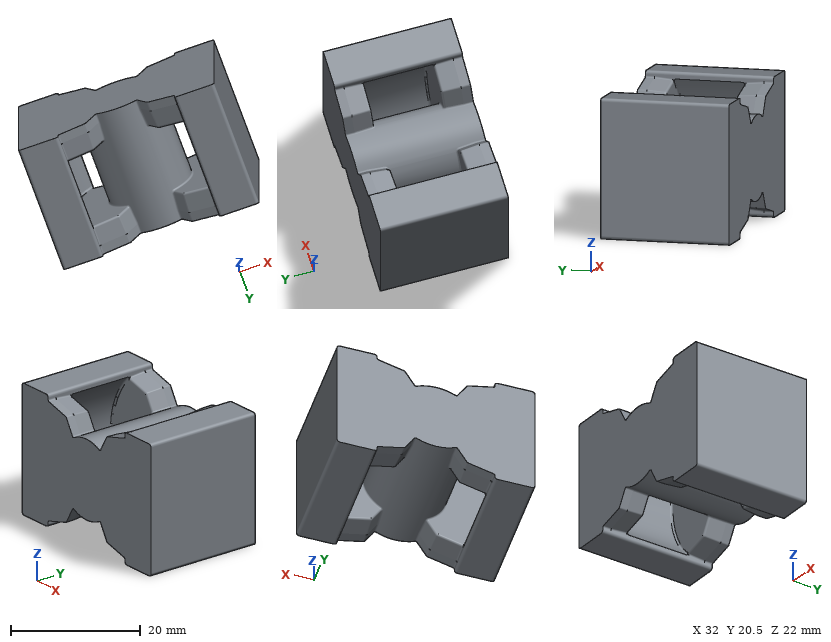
import cadquery as cq
import math

WIDTH = 32.0
DEPTH = 20.5
HEIGHT = 22.0

POST_RADIUS = 6.75
WINDOW_RADIUS = 13.75
WINDOW_DEPTH = 11.25
LEG_INNER_X = 9.5

SHOULDER_X = 5.05
SHOULDER_Z = 8.8
WAIST_SLOPE = math.radians(60)
ARM_SLOPE = math.radians(15)
STRAIGHT_DEPTH = 1.5
DRAFT_ANGLE = 5.0

LEG_ROUND = 0.5
SHOULDER_ROUND = 0.4
INNER_EDGE_ROUND = 0.35
ROOT_ROUND = 0.3

POST_OVERLAP = 1.6
LEG_OVERLAP = 1.28

TOLERANCE = 0.015

PLATE_DEPTH = (DEPTH - WINDOW_DEPTH) / 2
DRAFTED_DEPTH = PLATE_DEPTH - STRAIGHT_DEPTH
DRAFT_SHIFT = DRAFTED_DEPTH * math.tan(math.radians(DRAFT_ANGLE))
PLATE_END_X = WINDOW_RADIUS + LEG_OVERLAP
PLATE_END_Z = HEIGHT / 2 - LEG_ROUND
ARM_TOP_X = SHOULDER_X + (PLATE_END_Z - SHOULDER_Z) / math.tan(ARM_SLOPE)
WAIST_Z = POST_RADIUS - POST_OVERLAP
WAIST_X = SHOULDER_X - (SHOULDER_Z - WAIST_Z) / math.tan(WAIST_SLOPE)


def make_legs():
    """Two outer legs whose inner walls are hollowed by the round winding window."""
    leg_width = WIDTH / 2 - LEG_INNER_X
    leg = cq.Workplane("XY").box(leg_width, DEPTH, HEIGHT).edges("|Y").fillet(LEG_ROUND)
    leg_centre = (WIDTH - leg_width) / 2
    window = cq.Workplane("XZ").circle(WINDOW_RADIUS).extrude(WINDOW_DEPTH / 2, both=True)
    window = window.faces("<Y or >Y").edges().fillet(ROOT_ROUND)
    left_leg = leg.translate((-leg_centre, 0, 0))
    right_leg = leg.translate((leg_centre, 0, 0))
    return left_leg.union(right_leg).cut(window)


def plate_outline():
    """Hourglass polygon of an end plate, as points in X and Z."""
    upper_right = [
        (WAIST_X, WAIST_Z),
        (SHOULDER_X, SHOULDER_Z),
        (ARM_TOP_X, PLATE_END_Z),
        (PLATE_END_X, PLATE_END_Z),
    ]
    right = upper_right + [(x, -z) for x, z in reversed(upper_right)]
    left = [(-x, -z) for x, z in right]
    return right + left


def edges_along_depth(band, x):
    """Edges running along Y at distance x from the middle, below the buried plate ends."""

    def is_wanted(edge):
        centre = edge.Center()
        runs_along_depth = abs(edge.tangentAt(0.5).y) > 0.9
        near_x = abs(abs(centre.x) - x) < DRAFT_SHIFT
        return runs_along_depth and near_x and abs(centre.z) < PLATE_END_Z - TOLERANCE

    return band.edges().filter(is_wanted)


def make_band(depth, draft):
    """Plate band growing in +Y from Y = 0, with rounded shoulders and arm roots."""
    band = cq.Workplane("XZ").polyline(plate_outline()).close().extrude(-depth, taper=draft)
    band = edges_along_depth(band, SHOULDER_X).fillet(SHOULDER_ROUND)
    stub_width = PLATE_END_X - LEG_INNER_X
    stub = cq.Workplane("XY").box(stub_width, depth, 2 * PLATE_END_Z)
    for side in (-1, 1):
        band = band.union(stub.translate((side * (LEG_INNER_X + stub_width / 2), depth / 2, 0)))
    return edges_along_depth(band, LEG_INNER_X).fillet(ROOT_ROUND)


def make_end_plate():
    """Plate on the -Y side: a straight outer band, then a drafted band facing the window."""
    straight = make_band(STRAIGHT_DEPTH, 0)
    drafted = make_band(DRAFTED_DEPTH, DRAFT_ANGLE)
    drafted = drafted.faces(">Y").edges().fillet(INNER_EDGE_ROUND)
    plate = straight.union(drafted.translate((0, STRAIGHT_DEPTH, 0)))
    return plate.translate((0, -DEPTH / 2, 0))


def is_post_root(edge):
    """True for edges where the post meets an end plate, leaving out its outer rims."""
    middle = edge.positionAt(0.5)
    on_post = abs(math.hypot(middle.x, middle.z) - POST_RADIUS) < TOLERANCE
    return on_post and WINDOW_DEPTH / 2 - TOLERANCE < abs(middle.y) < DEPTH / 2 - TOLERANCE


post = cq.Workplane("XZ").circle(POST_RADIUS).extrude(DEPTH / 2, both=True)
end_plate = make_end_plate()
core = make_legs().union(post).union(end_plate).union(end_plate.mirror("XZ"))
result = core.edges().filter(is_post_root).fillet(ROOT_ROUND)